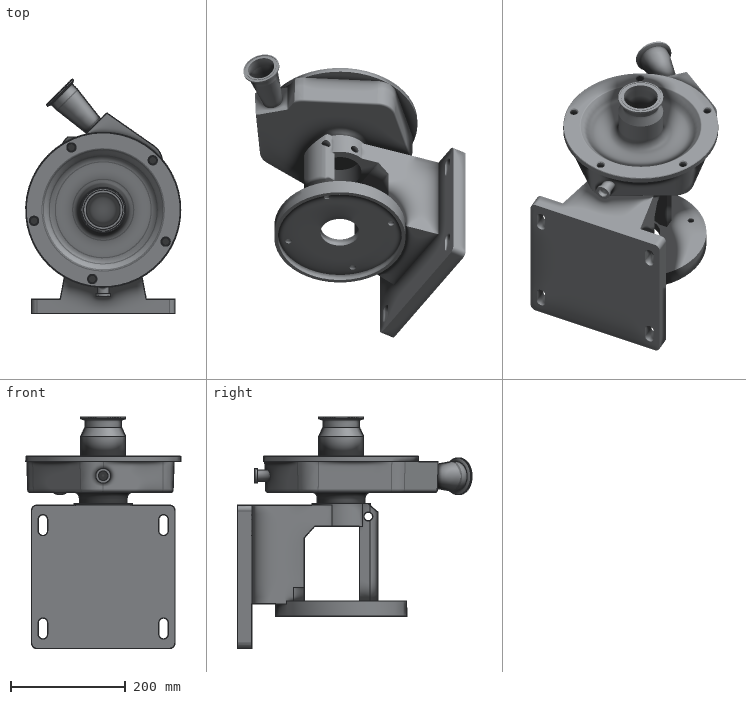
import cadquery as cq
import math


PLATE_SIZE = 250.0
PLATE_THICKNESS = 25.0
PLATE_BACK_Y = -180.5
PLATE_FRONT_Y = PLATE_BACK_Y + PLATE_THICKNESS
PLATE_CORNER_RADIUS = 10.0
SLOT_LENGTH = 36.0
SLOT_WIDTH = 16.0
SLOT_PITCH_X = 210.0
SLOT_PITCH_Z = 180.0

SHAFT_BORE_RADIUS = 37.5
COLLAR_RADIUS = 51.0
COLLAR_TOP_Z = 3.0
COLLAR_BOTTOM_Z = -37.0
COLLAR_HOLE_Z = -24.0
SIDE_HOLE_DIAMETER = 14.8

ARM_ROOT_HALF_WIDTH = 75.0
ARM_TIP_HALF_WIDTH = 48.5
ARM_TIP_Y = -math.sqrt(COLLAR_RADIUS**2 - ARM_TIP_HALF_WIDTH**2)
ARM_BOTTOM_Z = -172.0
WINDOW_Y = -64.0
WINDOW_CHAMFER_Y = 18.0
WINDOW_CHAMFER_Z = 20.0
BOLT_RELIEF_TOP_Z = -143.3
BOLT_RELIEF_OFFSET = 22.0

LEG_HALF_WIDTH = 35.0
LEG_INNER_Y = 31.5
LEG_EDGE_Y = 50.3
LEG_CROWN_Y = 64.5
LEG_TOP_CHAMFER_Y = 18.5
LEG_TOP_CHAMFER_Z = 16.0
LEG_HOLE_Y = 47.3
LEG_HOLE_Z = -20.0

MOTOR_FLANGE_RADIUS = 114.3
MOTOR_FLANGE_TOP_Z = -167.0
MOTOR_FLANGE_THICKNESS = 27.0
MOTOR_FLANGE_BOTTOM_Z = MOTOR_FLANGE_TOP_Z - MOTOR_FLANGE_THICKNESS
MOTOR_BOLT_CIRCLE_RADIUS = 92.1
MOTOR_BOLT_DIAMETER = 11.0
MOTOR_BOLT_COUNT = 4
MOTOR_BOLT_FIRST_ANGLE = 45.0
MOTOR_BORE_RADIUS = 33.7
MOTOR_PILOT_RADIUS = 108.0
MOTOR_PILOT_DEPTH = 12.3

CASING_BOTTOM_Z = 22.1
CASING_TOP_Z = 75.4
CASING_DRAFT = 2.0
CASING_APOTHEM = 115.4
CASING_CORNER_RADIUS = 35.0
CASING_BOTTOM_FILLET = 4.0
CASING_SIDES = 5
HALF_STEP_ANGLE = 180.0 / CASING_SIDES
CASING_CORNER_CENTRE = CASING_APOTHEM - CASING_CORNER_RADIUS
CASING_CORNER_CENTRE /= math.cos(math.radians(HALF_STEP_ANGLE))
FIRST_CORNER_ANGLE = 45.0
NECK_RADIUS = 41.8
NECK_FILLET = 9.5

COVER_RADIUS = 135.0
COVER_TOP_Z = 85.4
COVER_EDGE_CHAMFER = 1.0
COVER_BOLT_CIRCLE_RADIUS = 122.0
COVER_BOLT_DIAMETER = 13.0
COVER_BOLT_MOUTH_DIAMETER = 16.0
COVER_BOLT_DEPTH = 20.0
RECESS_RADIUS = 106.5
RECESS_LIP_RADIUS = 3.0
RECESS_FLOOR_RADIUS = 83.5
RECESS_FLOOR_FILLET = 15.0
ARC_RUN_45 = math.sin(math.radians(45))
ARC_RISE_45 = 1 - math.cos(math.radians(45))
RECESS_WALL_TOP_RADIUS = RECESS_RADIUS - RECESS_LIP_RADIUS * ARC_RUN_45
RECESS_WALL_TOP_Z = COVER_TOP_Z - RECESS_LIP_RADIUS * ARC_RISE_45
RECESS_WALL_FOOT_RADIUS = RECESS_FLOOR_RADIUS + RECESS_FLOOR_FILLET * ARC_RUN_45
RECESS_WALL_FOOT_Z = RECESS_WALL_TOP_Z - (RECESS_WALL_TOP_RADIUS - RECESS_WALL_FOOT_RADIUS)
RECESS_FLOOR_Z = RECESS_WALL_FOOT_Z - RECESS_FLOOR_FILLET * ARC_RISE_45

SUCTION_TOP_Z = 153.5
SUCTION_BODY_RADIUS = 39.2
SUCTION_BODY_TOP_Z = 119.6
SUCTION_NECK_RADIUS = 32.0
SUCTION_NECK_BOTTOM_Z = 135.2
SUCTION_BORE_RADIUS = 29.6
SUCTION_ROOT_FILLET = 14.0

FERRULE_RIM = 3.2
FERRULE_TAPER = 2.5
GROOVE_OUTER_INSET = 2.0
GROOVE_WIDTH = 3.0
GROOVE_DEPTH = 1.0

DISCHARGE_Z = 50.0
DISCHARGE_ANGLE = 135.0
DISCHARGE_OFFSET = 91.2
BLOCK_CORNER_SHIFT = 12.5
BLOCK_WALL_NORMAL = 55.0
BLOCK_WALL_LENGTH = 120.0
SHOULDER_Y = 127.0
DISCHARGE_FACE = 114.8
DISCHARGE_END = 199.0
DISCHARGE_RIM_RADIUS = 32.0
DISCHARGE_TUBE_START = 179.5
DISCHARGE_TUBE_RADIUS = 25.5
DISCHARGE_ROOT_RADIUS = 18.0
DISCHARGE_WALL = 2.0
DISCHARGE_ROOT_LENGTH = 3.0
DISCHARGE_ROOT_EMBED = 10.0

DRAIN_Z = 51.0
DRAIN_END_Y = -150.7
DRAIN_RADIUS = 10.4
DRAIN_RIM_RADIUS = 13.0
DRAIN_RIM_THICKNESS = 5.0
DRAIN_BORE_RADIUS = 8.2
DRAIN_DEPTH = 30.0


def cylinder(radius, bottom_z, top_z):
    return cq.Workplane("XY").workplane(offset=bottom_z).circle(radius).extrude(top_z - bottom_z)


def polar_point(radius, angle):
    return (radius * math.cos(math.radians(angle)), radius * math.sin(math.radians(angle)))


def corner_angles():
    return [FIRST_CORNER_ANGLE + i * 360.0 / CASING_SIDES for i in range(CASING_SIDES)]


def mounting_plate():
    plate = (
        cq.Workplane("XZ", origin=(0, PLATE_FRONT_Y, -PLATE_SIZE / 2))
        .rect(PLATE_SIZE, PLATE_SIZE)
        .extrude(PLATE_THICKNESS)
        .edges("|Y")
        .fillet(PLATE_CORNER_RADIUS)
    )
    slots = (
        cq.Workplane("XZ", origin=(0, PLATE_FRONT_Y, -PLATE_SIZE / 2))
        .rect(SLOT_PITCH_X, SLOT_PITCH_Z, forConstruction=True)
        .vertices()
        .slot2D(SLOT_LENGTH, SLOT_WIDTH, 90)
        .extrude(PLATE_THICKNESS)
    )
    return plate.cut(slots)


def bracket_arm():
    """Solid arm tapering from the mounting plate to the collar, open below the collar."""
    plan = [
        (-ARM_ROOT_HALF_WIDTH, PLATE_FRONT_Y),
        (ARM_ROOT_HALF_WIDTH, PLATE_FRONT_Y),
        (ARM_TIP_HALF_WIDTH, ARM_TIP_Y),
        (-ARM_TIP_HALF_WIDTH, ARM_TIP_Y),
    ]
    side = [
        (PLATE_FRONT_Y, 0),
        (ARM_TIP_Y, 0),
        (ARM_TIP_Y, COLLAR_BOTTOM_Z),
        (WINDOW_Y + WINDOW_CHAMFER_Y, COLLAR_BOTTOM_Z),
        (WINDOW_Y, COLLAR_BOTTOM_Z - WINDOW_CHAMFER_Z),
        (WINDOW_Y, ARM_BOTTOM_Z),
        (PLATE_FRONT_Y, ARM_BOTTOM_Z),
    ]
    plan_block = cq.Workplane("XY").polyline(plan).close().extrude(ARM_BOTTOM_Z)
    side_block = cq.Workplane("YZ").polyline(side).close().extrude(ARM_ROOT_HALF_WIDTH, both=True)
    arm = plan_block.intersect(side_block)
    relief_inner_x = -WINDOW_Y - BOLT_RELIEF_OFFSET
    relief_outer_y = -ARM_ROOT_HALF_WIDTH - BOLT_RELIEF_OFFSET
    for side_sign in (-1, 1):
        relief_corners = [
            (side_sign * relief_inner_x, WINDOW_Y),
            (side_sign * ARM_ROOT_HALF_WIDTH, WINDOW_Y),
            (side_sign * ARM_ROOT_HALF_WIDTH, relief_outer_y),
        ]
        relief = cq.Workplane("XY", origin=(0, 0, MOTOR_FLANGE_TOP_Z)).polyline(relief_corners).close()
        arm = arm.cut(relief.extrude(BOLT_RELIEF_TOP_Z - MOTOR_FLANGE_TOP_Z))
    return arm


def bracket_leg():
    """Leg opposite the arm, with a rounded outer face and a sloped top; also its cross hole."""
    leg = (
        cq.Workplane("XY", origin=(0, 0, MOTOR_FLANGE_TOP_Z))
        .moveTo(-LEG_HALF_WIDTH, LEG_INNER_Y)
        .lineTo(LEG_HALF_WIDTH, LEG_INNER_Y)
        .lineTo(LEG_HALF_WIDTH, LEG_EDGE_Y)
        .threePointArc((0, LEG_CROWN_Y), (-LEG_HALF_WIDTH, LEG_EDGE_Y))
        .close()
        .extrude(COLLAR_TOP_Z - MOTOR_FLANGE_TOP_Z)
    )
    slope = (
        cq.Workplane("YZ")
        .polyline([
            (LEG_CROWN_Y - LEG_TOP_CHAMFER_Y, COLLAR_TOP_Z),
            (LEG_CROWN_Y, COLLAR_TOP_Z),
            (LEG_CROWN_Y, COLLAR_TOP_Z - LEG_TOP_CHAMFER_Z),
        ])
        .close()
        .extrude(LEG_HALF_WIDTH, both=True)
    )
    hole = (
        cq.Workplane("YZ", origin=(0, LEG_HOLE_Y, LEG_HOLE_Z))
        .circle(SIDE_HOLE_DIAMETER / 2)
        .extrude(LEG_HALF_WIDTH, both=True)
    )
    return leg.cut(slope), hole


def bracket():
    leg, leg_hole = bracket_leg()
    motor_flange = cylinder(MOTOR_FLANGE_RADIUS, MOTOR_FLANGE_BOTTOM_Z, MOTOR_FLANGE_TOP_Z)
    motor_bolts = (
        cq.Workplane("XY", origin=(0, 0, MOTOR_FLANGE_BOTTOM_Z))
        .polarArray(MOTOR_BOLT_CIRCLE_RADIUS, MOTOR_BOLT_FIRST_ANGLE, 360, MOTOR_BOLT_COUNT)
        .circle(MOTOR_BOLT_DIAMETER / 2)
        .extrude(MOTOR_FLANGE_THICKNESS)
    )
    collar_hole = (
        cq.Workplane("YZ", origin=(0, 0, COLLAR_HOLE_Z))
        .circle(SIDE_HOLE_DIAMETER / 2)
        .extrude(-COLLAR_RADIUS)
    )
    return (
        cylinder(COLLAR_RADIUS, COLLAR_BOTTOM_Z, COLLAR_TOP_Z)
        .union(bracket_arm())
        .union(leg)
        .union(motor_flange.cut(motor_bolts))
        .union(mounting_plate())
        .cut(cylinder(SHAFT_BORE_RADIUS, MOTOR_FLANGE_TOP_Z, COLLAR_TOP_Z))
        .cut(cylinder(MOTOR_BORE_RADIUS, MOTOR_FLANGE_BOTTOM_Z, MOTOR_FLANGE_TOP_Z))
        .cut(cylinder(MOTOR_PILOT_RADIUS, MOTOR_FLANGE_BOTTOM_Z, MOTOR_FLANGE_BOTTOM_Z + MOTOR_PILOT_DEPTH))
        .cut(collar_hole)
        .cut(leg_hole)
    )


def drafted_prism(outline):
    """Extrude an outline down to the casing bottom, narrowing downwards."""
    return outline.extrude(CASING_BOTTOM_Z - CASING_TOP_Z, taper=CASING_DRAFT)


def moved(point, distance, angle):
    dx, dy = polar_point(distance, angle)
    return (point[0] + dx, point[1] + dy)


def corner_arc(centre, start_angle, end_angle):
    """Start, middle and end points of a casing corner arc."""
    angles = (start_angle, (start_angle + end_angle) / 2, end_angle)
    return [moved(centre, CASING_CORNER_RADIUS, angle) for angle in angles]


def volute_pentagon():
    """Five flats joined by tangent corner arcs centred under the cover bolts."""
    outline = cq.Workplane("XY", origin=(0, 0, CASING_TOP_Z))
    for index, angle in enumerate(corner_angles()):
        centre = polar_point(CASING_CORNER_CENTRE, angle)
        start, middle, end = corner_arc(centre, angle - HALF_STEP_ANGLE, angle + HALF_STEP_ANGLE)
        outline = outline.moveTo(*start) if index == 0 else outline.lineTo(*start)
        outline = outline.threePointArc(middle, end)
    return drafted_prism(outline.close())


def discharge_block():
    """Swelling towards the discharge; the first two corners shift outwards along the flats beside them."""
    right_corner, left_corner = corner_angles()[:2]
    right_flat = right_corner - HALF_STEP_ANGLE
    left_flat = left_corner + HALF_STEP_ANGLE
    right_centre = moved(
        polar_point(CASING_CORNER_CENTRE, right_corner), BLOCK_CORNER_SHIFT, right_flat + 90
    )
    left_centre = moved(
        polar_point(CASING_CORNER_CENTRE, left_corner), BLOCK_CORNER_SHIFT, left_flat - 90
    )
    right_start, right_middle, right_end = corner_arc(right_centre, right_flat, BLOCK_WALL_NORMAL)
    left_start, left_middle, left_end = corner_arc(left_centre, 90, left_flat)
    block = (
        cq.Workplane("XY", origin=(0, 0, CASING_TOP_Z))
        .moveTo(*right_start)
        .threePointArc(right_middle, right_end)
        .lineTo(*moved(right_end, BLOCK_WALL_LENGTH, BLOCK_WALL_NORMAL + 90))
        .lineTo(*left_start)
        .threePointArc(left_middle, left_end)
        .lineTo(*polar_point(CASING_APOTHEM, left_flat))
        .lineTo(*polar_point(CASING_APOTHEM, right_flat))
        .close()
    )
    return drafted_prism(block)


def discharge_notch():
    """Clearance that trims the block to its upright outlet face and the shoulder beside it."""
    inner_corner = (SHOULDER_Y - DISCHARGE_FACE * math.sqrt(2), SHOULDER_Y)
    far_corner = moved(inner_corner, COVER_RADIUS, DISCHARGE_ANGLE - 90)
    notch = cq.Workplane("XY", origin=(0, 0, CASING_BOTTOM_Z)).polyline([
        inner_corner,
        far_corner,
        (-COVER_RADIUS, far_corner[1]),
        (-COVER_RADIUS, SHOULDER_Y),
    ])
    return notch.close().extrude(CASING_TOP_Z - CASING_BOTTOM_Z)


def cover_bolt_hole():
    """Blind hole with a 45-degree countersunk mouth, on the Z axis."""
    hole_radius = COVER_BOLT_DIAMETER / 2
    mouth_radius = COVER_BOLT_MOUTH_DIAMETER / 2
    return (
        cq.Workplane("XZ")
        .moveTo(0, COVER_TOP_Z)
        .lineTo(mouth_radius, COVER_TOP_Z)
        .lineTo(hole_radius, COVER_TOP_Z - (mouth_radius - hole_radius))
        .lineTo(hole_radius, COVER_TOP_Z - COVER_BOLT_DEPTH)
        .lineTo(0, COVER_TOP_Z - COVER_BOLT_DEPTH)
        .close()
        .revolve()
    )


def casing():
    body = volute_pentagon().union(discharge_block())
    body = body.faces("<Z").edges().fillet(CASING_BOTTOM_FILLET)
    body = body.cut(discharge_notch())
    neck = (
        cq.Workplane("XZ")
        .moveTo(0, COLLAR_TOP_Z)
        .lineTo(NECK_RADIUS, COLLAR_TOP_Z)
        .lineTo(NECK_RADIUS, CASING_BOTTOM_Z - NECK_FILLET)
        .radiusArc((NECK_RADIUS + NECK_FILLET, CASING_BOTTOM_Z), NECK_FILLET)
        .lineTo(0, CASING_BOTTOM_Z)
        .close()
        .revolve()
    )
    cover = cylinder(COVER_RADIUS, CASING_TOP_Z, COVER_TOP_Z)
    cover = cover.faces(">Z").edges().chamfer(COVER_EDGE_CHAMFER)
    recess = (
        cq.Workplane("XZ")
        .moveTo(0, COVER_TOP_Z)
        .lineTo(RECESS_RADIUS, COVER_TOP_Z)
        .radiusArc((RECESS_WALL_TOP_RADIUS, RECESS_WALL_TOP_Z), -RECESS_LIP_RADIUS)
        .lineTo(RECESS_WALL_FOOT_RADIUS, RECESS_WALL_FOOT_Z)
        .radiusArc((RECESS_FLOOR_RADIUS, RECESS_FLOOR_Z), RECESS_FLOOR_FILLET)
        .lineTo(0, RECESS_FLOOR_Z)
        .close()
        .revolve()
    )
    body = body.union(neck).union(cover).cut(recess)
    for angle in corner_angles():
        body = body.cut(cover_bolt_hole().translate((*polar_point(COVER_BOLT_CIRCLE_RADIUS, angle), 0)))
    return body


def gasket_groove(rim_radius, end_z):
    outer_radius = rim_radius - GROOVE_OUTER_INSET
    ring = cylinder(outer_radius, end_z - GROOVE_DEPTH, end_z)
    return ring.cut(cylinder(outer_radius - GROOVE_WIDTH, end_z - GROOVE_DEPTH, end_z))


def suction_nozzle():
    rim_z = SUCTION_TOP_Z - FERRULE_RIM
    nozzle = (
        cq.Workplane("XZ")
        .moveTo(0, RECESS_FLOOR_Z)
        .lineTo(SUCTION_BODY_RADIUS + SUCTION_ROOT_FILLET, RECESS_FLOOR_Z)
        .radiusArc((SUCTION_BODY_RADIUS, RECESS_FLOOR_Z + SUCTION_ROOT_FILLET), SUCTION_ROOT_FILLET)
        .lineTo(SUCTION_BODY_RADIUS, SUCTION_BODY_TOP_Z)
        .lineTo(SUCTION_NECK_RADIUS, SUCTION_NECK_BOTTOM_Z)
        .lineTo(SUCTION_NECK_RADIUS, rim_z - FERRULE_TAPER)
        .lineTo(SUCTION_BODY_RADIUS, rim_z)
        .lineTo(SUCTION_BODY_RADIUS, SUCTION_TOP_Z)
        .lineTo(0, SUCTION_TOP_Z)
        .close()
        .revolve()
    )
    nozzle = nozzle.cut(gasket_groove(SUCTION_BODY_RADIUS, SUCTION_TOP_Z))
    return nozzle.cut(cylinder(SUCTION_BORE_RADIUS, RECESS_FLOOR_Z, SUCTION_TOP_Z))


def discharge_nozzle():
    """Hollow nozzle, modelled along local Z and turned onto the discharge axis."""
    rim = DISCHARGE_END - FERRULE_RIM
    start = DISCHARGE_FACE - DISCHARGE_ROOT_EMBED
    profile = (
        cq.Workplane("XZ")
        .moveTo(0, start)
        .lineTo(DISCHARGE_ROOT_RADIUS, start)
        .lineTo(DISCHARGE_ROOT_RADIUS, DISCHARGE_FACE + DISCHARGE_ROOT_LENGTH)
        .lineTo(DISCHARGE_TUBE_RADIUS, DISCHARGE_TUBE_START)
        .lineTo(DISCHARGE_TUBE_RADIUS, rim - FERRULE_TAPER)
        .lineTo(DISCHARGE_RIM_RADIUS, rim)
        .lineTo(DISCHARGE_RIM_RADIUS, DISCHARGE_END)
        .lineTo(0, DISCHARGE_END)
        .close()
        .revolve()
    )
    bore = (
        cq.Workplane("XZ")
        .moveTo(0, DISCHARGE_FACE)
        .lineTo(DISCHARGE_ROOT_RADIUS - DISCHARGE_WALL, DISCHARGE_FACE)
        .lineTo(DISCHARGE_TUBE_RADIUS - DISCHARGE_WALL, DISCHARGE_TUBE_START)
        .lineTo(DISCHARGE_TUBE_RADIUS - DISCHARGE_WALL, DISCHARGE_END)
        .lineTo(0, DISCHARGE_END)
        .close()
        .revolve()
    )
    nozzle = profile.cut(bore).cut(gasket_groove(DISCHARGE_RIM_RADIUS, DISCHARGE_END))
    nozzle = nozzle.rotate((0, 0, 0), (0, 1, 0), 90).translate((0, -DISCHARGE_OFFSET, DISCHARGE_Z))
    return nozzle.rotate((0, 0, 0), (0, 0, 1), DISCHARGE_ANGLE)


def drain_port():
    plane = cq.Workplane("XZ", origin=(0, DRAIN_END_Y, DRAIN_Z))
    rim = plane.circle(DRAIN_RIM_RADIUS).extrude(-DRAIN_RIM_THICKNESS)
    tube = plane.circle(DRAIN_RADIUS).extrude(-DRAIN_DEPTH)
    bore = plane.circle(DRAIN_BORE_RADIUS).extrude(-DRAIN_DEPTH)
    return rim.union(tube), bore


drain, drain_bore = drain_port()
result = (
    bracket()
    .union(casing())
    .union(suction_nozzle())
    .union(discharge_nozzle())
    .union(drain)
    .cut(drain_bore)
)